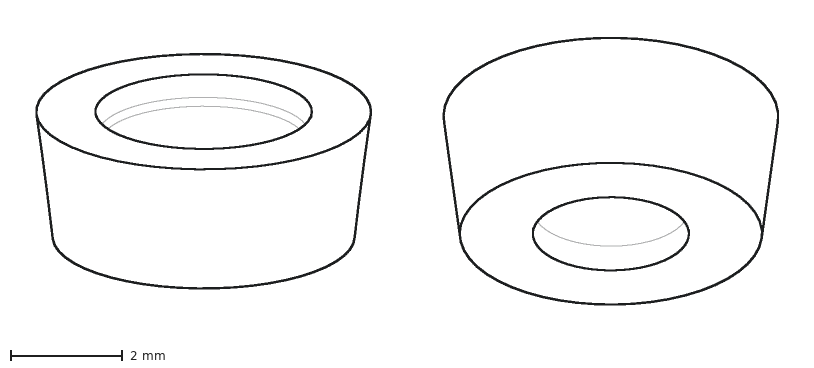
import cadquery as cq
import math

height = 2.38
top_radius = 3
clearance_angle = 7
bottom_radius = top_radius - height * math.tan(math.radians(clearance_angle))

mouth_radius = 1.94
mouth_depth = 0.42
mouth_taper = 7
mouth_floor_radius = mouth_radius - mouth_depth * math.tan(math.radians(mouth_taper))
seat_radius = 1.835
seat_depth = 0.57
bore_radius = 1.4

seat_drop = 1.32
seat_inset = seat_radius - bore_radius
seat_curve_radius = (seat_drop**2 + seat_inset**2) / (2 * seat_inset)
half_sweep = math.atan2(seat_drop, seat_curve_radius - seat_inset) / 2

mouth_z = height - mouth_depth
seat_z = height - seat_depth
bore_z = seat_z - seat_drop
seat_middle = (
    bore_radius + seat_curve_radius * (1 - math.cos(half_sweep)),
    bore_z + seat_curve_radius * math.sin(half_sweep),
)

section = (
    cq.Workplane("XZ")
    .moveTo(bore_radius, 0)
    .lineTo(bottom_radius, 0)
    .lineTo(top_radius, height)
    .lineTo(mouth_radius, height)
    .lineTo(mouth_floor_radius, mouth_z)
    .tangentArcPoint((seat_radius, seat_z), relative=False)
    .threePointArc(seat_middle, (bore_radius, bore_z))
    .close()
)
result = section.revolve(360, (0, 0, 0), (0, 1, 0))